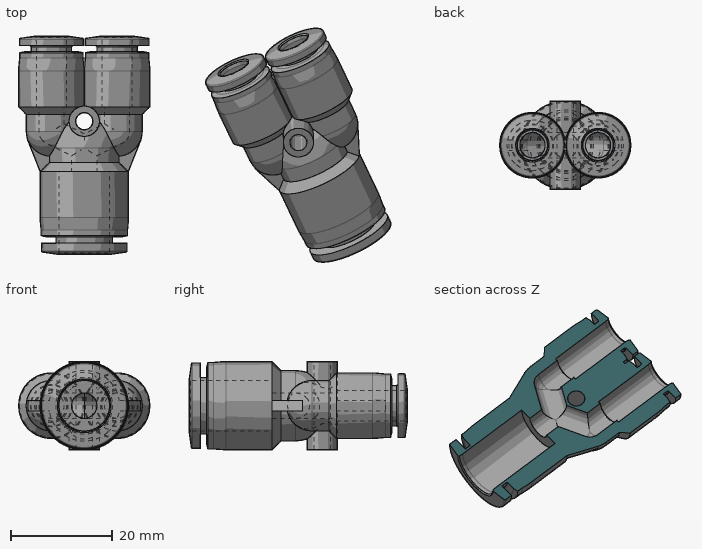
import math

import cadquery as cq


overall_length = 43.2
large_length = 21.05
small_length_to_joint = 18.9
small_tip_y = overall_length - large_length
joint_y = small_tip_y - small_length_to_joint

large_end = dict(
    body_radius=8.75,
    back_radius=7.0,
    rim_radius=8.58,
    cap_radius=8.47,
    cap_depth=2.2,
    collar_radius=5.63,
    body_depth=3.45,
    body_face_radius=7.5,
    rim_end_depth=4.8,
    taper_end_depth=7.25,
    shoulder_depth=16.4,
    bore_radius=5.0,
    length=large_length,
)

small_end = dict(
    body_radius=6.5,
    back_radius=5.0,
    rim_radius=6.3,
    cap_radius=6.33,
    cap_depth=1.9,
    collar_radius=4.02,
    body_depth=3.05,
    body_face_radius=5.2,
    rim_end_depth=4.3,
    taper_end_depth=6.9,
    shoulder_depth=14.0,
    bore_radius=3.0,
    length=small_length_to_joint,
)
small_offset_x = small_end["body_radius"]

cap_cone_depth = 0.45
cap_edge_fillet = 0.25
mouth_chamfer = 0.25
lead_in_width = 0.08
lead_in_depth = 1.0
body_face_cone = 0.25
collar_root_depth = 0.25
collar_root_width = 0.15

passage_radius = 2.5

lug_y = 5.3
lug_radius = 3.0
lug_hole_radius = 1.67
lug_height = 2 * large_end["body_radius"]

plate_thickness = 2.0
web_half_width = 1.0


def end_solid(end, collar_flare=False):
    """Outer shape of one tube end: tip at y = 0, axis along +Y, spherical back around y = length."""
    mouth_radius = end["bore_radius"] + lead_in_width + mouth_chamfer
    body_radius = end["body_radius"]
    back_radius = end["back_radius"]
    rim_drop = body_radius - end["rim_radius"]
    taper_middle_depth = (end["rim_end_depth"] + end["taper_end_depth"]) / 2
    taper_middle_radius = body_radius - rim_drop / 4
    neck_depth = end["shoulder_depth"] + body_radius - back_radius
    arc_middle = back_radius * math.sqrt(0.5)

    cap = (
        cq.Workplane("XY")
        .lineTo(mouth_radius, 0)
        .lineTo(end["cap_radius"], cap_cone_depth)
        .lineTo(end["cap_radius"], end["cap_depth"])
        .lineTo(0, end["cap_depth"])
        .close()
        .revolve(360, (0, 0, 0), (0, 1, 0))
    )
    cone_edge = cq.selectors.BoxSelector(
        (-2 * body_radius, cap_cone_depth / 2, -2 * body_radius),
        (2 * body_radius, cap_cone_depth * 1.5, 2 * body_radius),
        boundingbox=True,
    )
    cap = cap.edges(cone_edge).fillet(cap_edge_fillet)

    body = cq.Workplane("XY").moveTo(0, end["cap_depth"])
    if collar_flare:
        body = body.lineTo(end["collar_radius"] + collar_root_width, end["cap_depth"])
        body = body.lineTo(end["collar_radius"], end["cap_depth"] + collar_root_depth)
    else:
        body = body.lineTo(end["collar_radius"], end["cap_depth"])
    body = (
        body.lineTo(end["collar_radius"], end["body_depth"])
        .lineTo(end["body_face_radius"], end["body_depth"])
        .lineTo(end["rim_radius"], end["body_depth"] + body_face_cone)
        .lineTo(end["rim_radius"], end["rim_end_depth"])
        .threePointArc((taper_middle_radius, taper_middle_depth), (body_radius, end["taper_end_depth"]))
        .lineTo(body_radius, end["shoulder_depth"])
        .lineTo(back_radius, neck_depth)
        .lineTo(back_radius, end["length"])
        .threePointArc((arc_middle, end["length"] + arc_middle), (0, end["length"] + back_radius))
        .close()
        .revolve(360, (0, 0, 0), (0, 1, 0))
    )
    return cap.union(body)


def end_bore(end):
    """Socket with a chamfered mouth and tapered lead-in, then a narrower passage to the spherical back."""
    bore_radius = end["bore_radius"]
    lead_in_radius = bore_radius + lead_in_width
    bore = (
        cq.Workplane("XY")
        .lineTo(lead_in_radius + mouth_chamfer, 0)
        .lineTo(lead_in_radius, mouth_chamfer)
        .lineTo(bore_radius, lead_in_depth)
        .lineTo(bore_radius, end["shoulder_depth"])
        .lineTo(passage_radius, end["shoulder_depth"])
        .lineTo(passage_radius, end["length"])
        .lineTo(0, end["length"])
        .close()
        .revolve(360, (0, 0, 0), (0, 1, 0))
    )
    elbow = cq.Workplane("XY").sphere(passage_radius).translate((0, end["length"], 0))
    return bore.union(elbow)


def place_large(shape):
    return shape.translate((0, -large_length, 0))


def place_small(shape, side):
    return shape.rotate((0, 0, 0), (0, 0, 1), 180).translate((side * small_offset_x, small_tip_y, 0))


def link_passage(side):
    """Slanted passage from the back of the large end to the back of a small end."""
    direction = cq.Vector(side * small_offset_x, joint_y, 0)
    return cq.Workplane(
        cq.Solid.makeCylinder(passage_radius, direction.Length, cq.Vector(0, 0, 0), direction)
    )


def gusset(side):
    """Flat plate from the large shoulder corner, along the tangent to the small spherical back."""
    corner_x = large_end["body_radius"]
    corner_y = large_end["shoulder_depth"] - large_length
    back_radius = small_end["back_radius"]
    run_x = small_offset_x - corner_x
    run_y = joint_y - corner_y
    distance = math.hypot(run_x, run_y)
    tangent_length = math.sqrt(distance**2 - back_radius**2)
    tangent_angle = math.atan2(run_y, run_x) - math.asin(back_radius / distance)
    tangent_x = corner_x + tangent_length * math.cos(tangent_angle)
    tangent_y = corner_y + tangent_length * math.sin(tangent_angle)
    outline = [
        (side * corner_x, corner_y),
        (side * tangent_x, tangent_y),
        (side * small_offset_x, tangent_y),
        (side * small_offset_x, corner_y),
    ]
    return (
        cq.Workplane("XY").polyline(outline).close().extrude(plate_thickness / 2, both=True)
    )


def web():
    """Thin plate joining the two small bodies from the end of their rims back to the cross tube."""
    end_y = small_tip_y - small_end["rim_end_depth"]
    length = end_y - lug_y
    return (
        cq.Workplane("XY")
        .box(2 * web_half_width, length, plate_thickness)
        .translate((0, lug_y + length / 2, 0))
    )


def lug_cylinder(radius):
    return (
        cq.Workplane("XY").center(0, lug_y).circle(radius).extrude(lug_height / 2, both=True)
    )


result = place_large(end_solid(large_end)).union(lug_cylinder(lug_radius)).union(web())
for side in (-1, 1):
    result = result.union(place_small(end_solid(small_end, collar_flare=True), side))
    result = result.union(gusset(side))

result = result.cut(place_large(end_bore(large_end)))
for side in (-1, 1):
    result = result.cut(place_small(end_bore(small_end), side))
    result = result.cut(link_passage(side))
result = result.cut(lug_cylinder(lug_hole_radius))